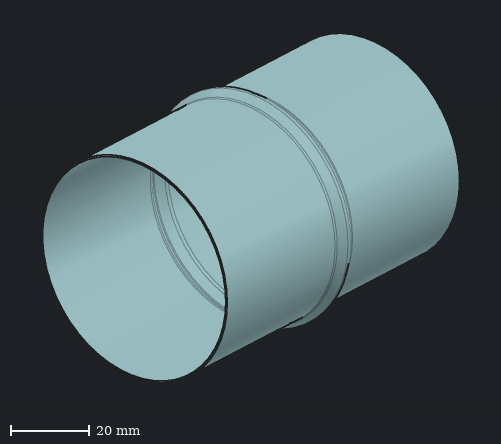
import cadquery as cq
import math

length = 93.0
outer_diameter = 62.0
bore_diameter = 61.0
bead_diameter = 66.0

flank_angle = math.radians(35.0)
root_radius = 1.1
crest_radius = 0.9

outer_radius = outer_diameter / 2
wall = (outer_diameter - bore_diameter) / 2
bead_height = (bead_diameter - outer_diameter) / 2
blend_rise = (root_radius + crest_radius) * (1 - math.cos(flank_angle))
flank_run = (bead_height - blend_rise) / math.tan(flank_angle)
bead_half_width = (root_radius + crest_radius) * math.sin(flank_angle) + flank_run

root_centre_radius = outer_radius + root_radius
crest_centre_radius = bead_diameter / 2 - crest_radius


def root_point(depth, angle):
    """Point (radius, y) on the +Y root arc, for a surface this deep in the wall."""
    arc_radius = root_radius + depth
    return (
        root_centre_radius - arc_radius * math.cos(angle),
        bead_half_width - arc_radius * math.sin(angle),
    )


def crest_point(depth, angle):
    """Point (radius, y) on the crest arc, for a surface this deep in the wall."""
    arc_radius = crest_radius - depth
    return (
        crest_centre_radius + arc_radius * math.cos(angle),
        arc_radius * math.sin(angle),
    )


def mirrored(point):
    """Reflect a profile point across the mid-plane of the pipe."""
    return (point[0], -point[1])


def add_surface(profile, depth, side):
    """Trace one wall surface from the -Y end (side=1) or from the +Y end (side=-1)."""

    def placed(point):
        return point if side > 0 else mirrored(point)

    root_end = root_point(depth, 0)
    root_mid = root_point(depth, flank_angle / 2)
    flank_foot = root_point(depth, flank_angle)
    flank_top = crest_point(depth, flank_angle)
    return (
        profile.lineTo(*placed(mirrored(root_end)))
        .threePointArc(placed(mirrored(root_mid)), placed(mirrored(flank_foot)))
        .lineTo(*placed(mirrored(flank_top)))
        .threePointArc(placed(crest_point(depth, 0)), placed(flank_top))
        .lineTo(*placed(flank_foot))
        .threePointArc(placed(root_mid), placed(root_end))
        .lineTo(outer_radius - depth, side * length / 2)
    )


section = cq.Workplane("XY").moveTo(outer_radius, -length / 2)
section = add_surface(section, 0, 1)
section = section.lineTo(bore_diameter / 2, length / 2)
section = add_surface(section, wall, -1)

result = section.close().revolve(360, (0, 0, 0), (0, 1, 0))